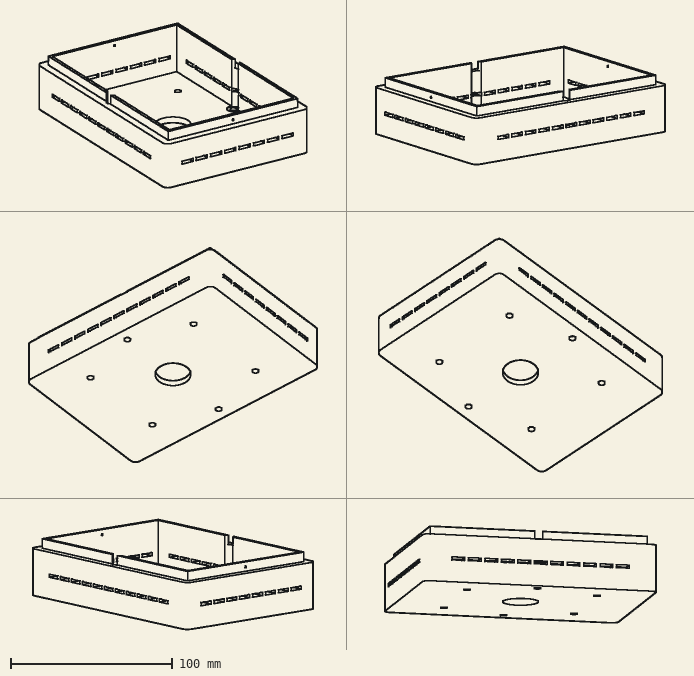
import cadquery as cq

length = 149.0
width = 105.5
height = 35.6
corner_radius = 4.0

lip_height = 6.0
lip_inset = 5.2
lip_thickness = 2.0
base_height = height - lip_height
lip_length = length - 2 * lip_inset
lip_width = width - 2 * lip_inset

floor_thickness = 4.0
cavity_length = lip_length - 2 * lip_thickness
cavity_width = lip_width - 2 * lip_thickness

centre_hole_diameter = 22.0
screw_hole_diameter = 4.0
mount_spacing_x = 83.0
mount_spacing_y = 60.0

recess_diameter = 8.0
recess_spacing = 88.8
recess_sink = 0.3
recess_level = floor_thickness - recess_sink

slot_length = 8.0
slot_height = 2.0
long_wall_slots = 11
short_wall_slots = 8
long_row_span = 105.0
slot_pitch = long_row_span / (long_wall_slots - 1)
slot_level = base_height / 2

pin_hole_diameter = 1.0
pin_hole_rise = 2.7
pin_hole_level = base_height + pin_hole_rise


def make_shell():
    base = cq.Workplane("XY").box(length, width, base_height, centered=(True, True, False))
    base = base.edges("|Z").fillet(corner_radius)
    core = cq.Workplane("XY").box(lip_length, lip_width, height, centered=(True, True, False))
    cavity = cq.Workplane("XY", origin=(0, 0, floor_thickness)).box(
        cavity_length, cavity_width, height, centered=(True, True, False)
    )
    return base.union(core).cut(cavity)


def make_floor_holes():
    centre = cq.Workplane("XY").circle(centre_hole_diameter / 2).extrude(height)
    mounts = (
        cq.Workplane("XY")
        .rect(mount_spacing_x, mount_spacing_y, forConstruction=True)
        .vertices()
        .circle(screw_hole_diameter / 2)
        .extrude(height)
    )
    return centre.union(mounts)


def make_screw_recesses():
    places = [(0, -recess_spacing / 2), (0, recess_spacing / 2)]
    holes = cq.Workplane("XY").pushPoints(places).circle(screw_hole_diameter / 2).extrude(height)
    recesses = (
        cq.Workplane("XY", origin=(0, 0, recess_level))
        .pushPoints(places)
        .circle(recess_diameter / 2)
        .extrude(height)
    )
    return holes.union(recesses)


def make_slot_row(plane, count, depth):
    """Row of slots on a vertical plane, running through both opposite walls."""
    return (
        cq.Workplane(plane)
        .center(0, slot_level)
        .rarray(slot_pitch, 1.5, count, 1)
        .rect(slot_length, slot_height)
        .extrude(depth / 2, both=True)
    )


def make_pin_holes():
    return (
        cq.Workplane("YZ")
        .center(0, pin_hole_level)
        .circle(pin_hole_diameter / 2)
        .extrude(length / 2, both=True)
    )


result = (
    make_shell()
    .cut(make_floor_holes())
    .cut(make_screw_recesses())
    .cut(make_slot_row("XZ", long_wall_slots, width))
    .cut(make_slot_row("YZ", short_wall_slots, length))
    .cut(make_pin_holes())
)